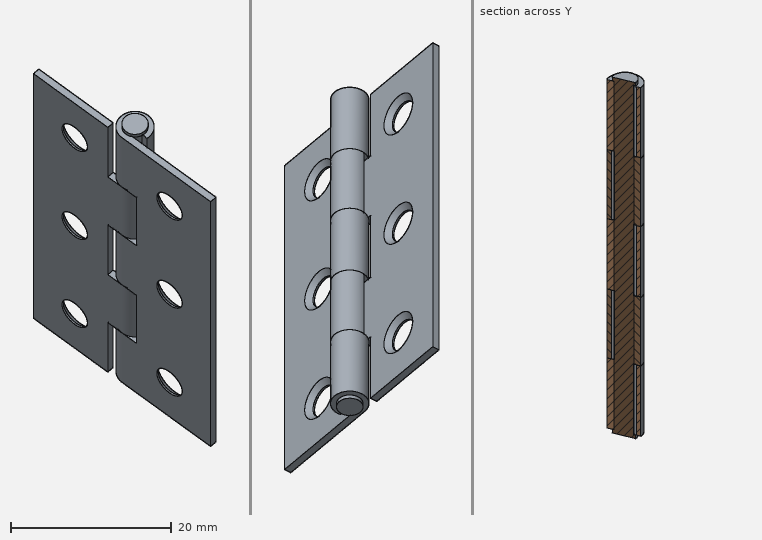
import cadquery as cq
import math

HINGE_WIDTH = 30.0
PIN_LENGTH = 51.1
LEAF_HEIGHT = 50.05

KNUCKLE_DIAMETER = 4.8
BORE_DIAMETER = 2.8
KNUCKLE_RADIUS = KNUCKLE_DIAMETER / 2
BORE_RADIUS = BORE_DIAMETER / 2
LEAF_THICKNESS = KNUCKLE_RADIUS - BORE_RADIUS
ROLL_SWEEP = 280.0

LEFT_KNUCKLE_HEIGHT = 9.8
LEFT_KNUCKLE_PITCH = 20.0
MIDDLE_KNUCKLE_HEIGHT = LEFT_KNUCKLE_PITCH - LEFT_KNUCKLE_HEIGHT
END_KNUCKLE_HEIGHT = (LEAF_HEIGHT - MIDDLE_KNUCKLE_HEIGHT) / 2 - LEFT_KNUCKLE_HEIGHT
END_KNUCKLE_CENTER = (LEAF_HEIGHT - END_KNUCKLE_HEIGHT) / 2

LEFT_KNUCKLES = [
    (-LEFT_KNUCKLE_PITCH / 2, LEFT_KNUCKLE_HEIGHT),
    (LEFT_KNUCKLE_PITCH / 2, LEFT_KNUCKLE_HEIGHT),
]
RIGHT_KNUCKLES = [
    (-END_KNUCKLE_CENTER, END_KNUCKLE_HEIGHT),
    (0, MIDDLE_KNUCKLE_HEIGHT),
    (END_KNUCKLE_CENTER, END_KNUCKLE_HEIGHT),
]

HEAD_DIAMETER = 3.3
HEAD_HEIGHT = (PIN_LENGTH - LEAF_HEIGHT) / 2

HOLE_DIAMETER = 4.3
HOLE_OFFSET = 8.0
HOLE_PITCH = 18.0
HOLE_HEIGHTS = (-HOLE_PITCH, 0, HOLE_PITCH)
HOLE_LAND = 0.25
COUNTERSINK_ANGLE = 90.0


def point_on_roll(radius, sweep):
    """Point at a radius from the pin axis, a clockwise sweep away from the lowest point."""
    angle = math.radians(-90 - sweep)
    return (radius * math.cos(angle), radius * math.sin(angle))


def make_rolled_sheet():
    """Flat sheet on the +X side whose inner edge curls around the pin axis over the full height."""
    return (
        cq.Workplane("XY", origin=(0, 0, -LEAF_HEIGHT / 2))
        .moveTo(HINGE_WIDTH / 2, -KNUCKLE_RADIUS)
        .lineTo(0, -KNUCKLE_RADIUS)
        .threePointArc(
            point_on_roll(KNUCKLE_RADIUS, ROLL_SWEEP / 2),
            point_on_roll(KNUCKLE_RADIUS, ROLL_SWEEP),
        )
        .lineTo(*point_on_roll(BORE_RADIUS, ROLL_SWEEP))
        .threePointArc(
            point_on_roll(BORE_RADIUS, ROLL_SWEEP / 2),
            (0, -BORE_RADIUS),
        )
        .lineTo(HINGE_WIDTH / 2, -BORE_RADIUS)
        .close()
        .extrude(LEAF_HEIGHT)
    )


def make_screw_hole(height):
    """Cutter for one screw hole: a cylinder at the flat face, then a cone widening towards +Y."""
    cone_depth = LEAF_THICKNESS - HOLE_LAND
    hole_radius = HOLE_DIAMETER / 2
    rim_radius = hole_radius + cone_depth * math.tan(math.radians(COUNTERSINK_ANGLE / 2))
    return (
        cq.Workplane("XY", origin=(HOLE_OFFSET, 0, height))
        .moveTo(0, -KNUCKLE_RADIUS)
        .lineTo(hole_radius, -KNUCKLE_RADIUS)
        .lineTo(hole_radius, -KNUCKLE_RADIUS + HOLE_LAND)
        .lineTo(rim_radius, -BORE_RADIUS)
        .lineTo(0, -BORE_RADIUS)
        .close()
        .revolve(360, (0, 0, 0), (0, 1, 0))
    )


def make_leaf(opposite_knuckles):
    """Leaf on the +X side, notched the full knuckle width where the other leaf's knuckles sit."""
    leaf = make_rolled_sheet()
    for height in HOLE_HEIGHTS:
        leaf = leaf.cut(make_screw_hole(height))
    for center, height in opposite_knuckles:
        notch = cq.Workplane("XY").box(KNUCKLE_DIAMETER, KNUCKLE_DIAMETER, height)
        leaf = leaf.cut(notch.translate((0, 0, center)))
    return leaf


def make_pin():
    """Pin that fills the bore, with a flat head resting on the knuckles at each end."""
    return (
        cq.Workplane("XY", origin=(0, 0, -LEAF_HEIGHT / 2))
        .circle(BORE_RADIUS)
        .extrude(LEAF_HEIGHT)
        .faces(">Z")
        .workplane()
        .circle(HEAD_DIAMETER / 2)
        .extrude(HEAD_HEIGHT)
        .faces("<Z")
        .workplane()
        .circle(HEAD_DIAMETER / 2)
        .extrude(HEAD_HEIGHT)
    )


right_leaf = make_leaf(LEFT_KNUCKLES)
left_leaf = make_leaf(RIGHT_KNUCKLES).mirror("YZ")
pin = make_pin()

bodies = [right_leaf, left_leaf, pin]
result = cq.Compound.makeCompound([body.solids().val() for body in bodies])